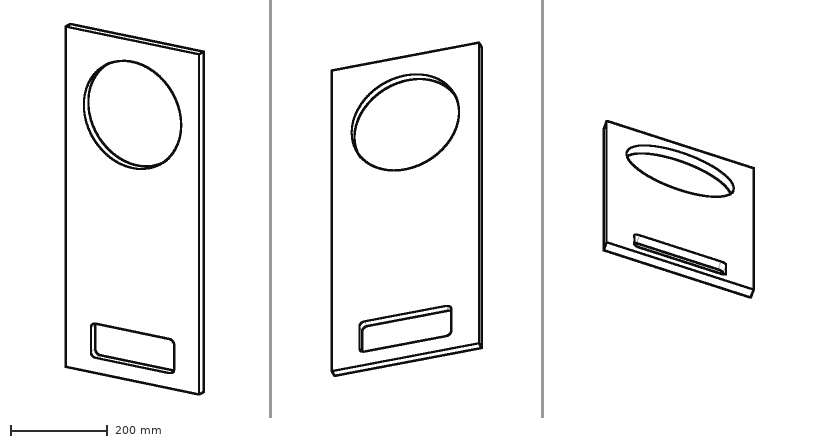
import cadquery as cq

width = 322.0
thickness = 19.0
height = 752.0

hole_diameter = 235.0
hole_center_height = 587.0

slot_width = 201.0
slot_height = 75.0
slot_bottom = 34.0
slot_corner_radius = 11.0


def upright_block(size_x, size_z, bottom):
    """Block of plate thickness, centred on X and Y, standing at the given height."""
    block = cq.Workplane("XY").box(size_x, thickness, size_z, centered=(True, True, False))
    return block.translate((0, 0, bottom))


plate = upright_block(width, height, 0)

round_opening = (
    cq.Workplane("XZ", origin=(0, 0, hole_center_height))
    .circle(hole_diameter / 2)
    .extrude(thickness / 2, both=True)
)

slot = upright_block(slot_width, slot_height, slot_bottom).edges("|Y").fillet(slot_corner_radius)

result = plate.cut(round_opening).cut(slot)